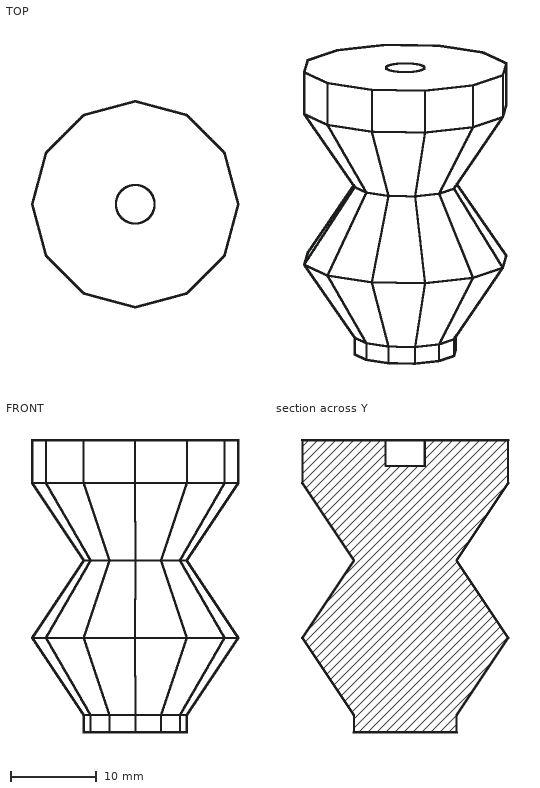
import cadquery as cq

SIDES = 12
WIDE_DIAMETER = 24.0
NARROW_DIAMETER = WIDE_DIAMETER / 2

FOOT_HEIGHT = 2.0
TAPER_HEIGHT = 9.0
HEAD_HEIGHT = 5.0

HOLE_DIAMETER = 4.5
HOLE_DEPTH = 3.0


def section(bottom_diameter, top_diameter, base_z, height):
    """Straight-sided section between two aligned polygons, corners on the X and Y axes."""
    return (
        cq.Workplane("XY", origin=(0, 0, base_z))
        .polygon(SIDES, bottom_diameter)
        .workplane(offset=height)
        .polygon(SIDES, top_diameter)
        .loft(ruled=True)
    )


def make_body():
    """Foot, three alternating tapers and a head, stacked along Z."""
    stack = [
        (NARROW_DIAMETER, NARROW_DIAMETER, FOOT_HEIGHT),
        (NARROW_DIAMETER, WIDE_DIAMETER, TAPER_HEIGHT),
        (WIDE_DIAMETER, NARROW_DIAMETER, TAPER_HEIGHT),
        (NARROW_DIAMETER, WIDE_DIAMETER, TAPER_HEIGHT),
        (WIDE_DIAMETER, WIDE_DIAMETER, HEAD_HEIGHT),
    ]
    body = cq.Workplane("XY")
    base_z = 0.0
    for bottom_diameter, top_diameter, height in stack:
        body = body.union(section(bottom_diameter, top_diameter, base_z, height))
        base_z += height
    return body


def drill_hole(body):
    """Flat-bottomed hole down the axis from the top face."""
    return body.faces(">Z").workplane().hole(HOLE_DIAMETER, HOLE_DEPTH)


result = drill_hole(make_body())